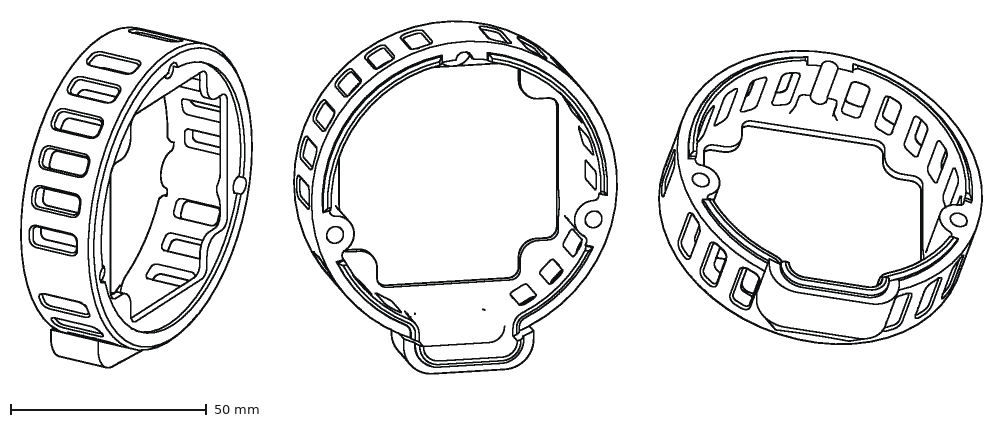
import cadquery as cq
import math

ring_radius = 80.0 / 2
ring_depth = 21.15
bore_radius = 35.3
flange_thickness = 2.15
back_recess = 1.2
floor_x = ring_depth - back_recess - flange_thickness
back_chamfer = 1.0
floor_fillet = 1.7

boss_radius = 5.0
boss_circle = ring_radius - boss_radius
screw_hole = 4.4
top_boss_angle = 90
side_boss_angles = (-15, 195)
boss_wall_fillet = 1.4
top_boss_x = 12.0
top_boss_rounding = 1.0

lip_width = 1.9
lip_height = 1.9
lip_chamfer = 0.95
top_gap = 11.95
side_gap = 14.0

housing_half_width = 17.0
overall_height = 85.95
housing_bottom = ring_radius - overall_height
housing_corner = 7.6
housing_front_x = -5.0
housing_taper_x = 9.1
housing_taper_angle = 36
housing_taper_length = 9.9
channel_half_width = 12.3
channel_bottom = -42.1
channel_corner = 4.0
channel_junction = 4.3

ramp_start_x = 7.7
ramp_top_z = -30.1
ramp_end_half_width = 8.8
ramp_end_top_half_width = 13.75
ramp_end_bottom = -37.0
ramp_end_corner = 1.3

slot_length = 13.0
slot_width = 5.0
slot_corner = 1.5
slot_chamfer = 0.7
slot_center_x = 9.7
slot_pitch = 15
slot_angles = [slot_pitch * step for step in (-4, -3, -2, 0, 1, 2, 3, 4, 5)]

opening_half = 28.7
pad_half = 18.7
pad_radius = 4.6
pad_root_radius = 2.7


def rotate_from_y(shape, angle):
    """Turn a shape built along +Z to the given angle about X, measured from +Y."""
    return shape.rotate((0, 0, 0), (1, 0, 0), angle - 90)


def disc(radius, x_start, x_end):
    """Cylinder on the ring axis."""
    return cq.Workplane("YZ").workplane(offset=x_start).circle(radius).extrude(x_end - x_start)


def rounded_prism(half_width, bottom, corner, x_start, x_end):
    """Prism along X from the ring axis down to the bottom, lower corners rounded."""
    return (
        cq.Workplane("YZ").workplane(offset=x_start)
        .center(0, bottom / 2).rect(2 * half_width, -bottom).extrude(x_end - x_start)
        .edges("|X and <Z").fillet(corner)
    )


def bore_outline(margin, x_start, x_end):
    """Bore joined to the cable channel, grown outwards by the margin."""
    radius = bore_radius + margin
    half_width = channel_half_width + margin
    channel = rounded_prism(half_width, channel_bottom - margin, channel_corner + margin, x_start, x_end)
    junction_z = -math.sqrt(radius ** 2 - half_width ** 2)
    reach = 0.4
    junction = cq.selectors.BoxSelector(
        (x_start - reach, -half_width - reach, junction_z - reach),
        (x_end + reach, half_width + reach, junction_z + reach),
    )
    outline = disc(radius, x_start, x_end).union(channel)
    return outline.edges("|X").edges(junction).fillet(channel_junction - margin)


def boss_cylinder(angle, radius, x_start, x_end):
    """Cylinder on the axis of the screw boss at the given angle from +Y."""
    y = boss_circle * math.cos(math.radians(angle))
    z = boss_circle * math.sin(math.radians(angle))
    return disc(radius, x_start, x_end).translate((0, y, z))


def housing():
    """Cable housing, tapering into the ring and nested to its radius ahead of the rim."""
    straight = rounded_prism(
        housing_half_width, housing_bottom, housing_corner, housing_front_x, housing_taper_x
    )
    taper = straight.faces(">X").wires().toPending().workplane().extrude(
        housing_taper_length, taper=housing_taper_angle, combine=False
    )
    nest = disc(ring_radius, housing_front_x, 0)
    return straight.union(taper).cut(nest)


def lip(x_start, x_end):
    """Strip standing around the bore and channel, its outer front edge chamfered."""
    outer = bore_outline(lip_width, x_start, x_end).faces("<X").edges().chamfer(lip_chamfer)
    return outer.cut(bore_outline(0, x_start, x_end))


def gap_cutter(angle, gap):
    """Block that interrupts the rim lip at a boss and chamfers the lip ends."""
    half_gap = gap / 2
    block = (
        cq.Workplane("XY")
        .polyline([
            (0, -half_gap),
            (lip_chamfer - lip_height, -half_gap),
            (-lip_height, -half_gap - lip_chamfer),
            (-lip_height, half_gap + lip_chamfer),
            (lip_chamfer - lip_height, half_gap),
            (0, half_gap),
        ])
        .close().extrude(ring_radius)
    )
    return rotate_from_y(block, angle)


def rim_lip():
    """Lip on the ring rim, interrupted at the three bosses."""
    strip = lip(-lip_height, 0).cut(gap_cutter(top_boss_angle, top_gap))
    for angle in side_boss_angles:
        strip = strip.cut(gap_cutter(angle, side_gap))
    return strip


def housing_lip():
    """Lip on the front face of the housing, outside the ring radius."""
    front_x = housing_front_x - lip_height
    return lip(front_x, housing_front_x).cut(disc(ring_radius, front_x, housing_front_x))


def channel_section(x, half_width, bottom, corner, top_half_width):
    """Channel cross-section with rounded lower corners, closed inside the bore."""
    corner_half_width = half_width - corner
    corner_side_z = bottom + corner
    bulge = corner * math.sqrt(0.5)
    bulge_y = corner_half_width + bulge
    bulge_z = corner_side_z - bulge
    return (
        cq.Workplane("YZ").workplane(offset=x)
        .moveTo(-top_half_width, ramp_top_z)
        .lineTo(-half_width, corner_side_z)
        .threePointArc((-bulge_y, bulge_z), (-corner_half_width, bottom))
        .lineTo(corner_half_width, bottom)
        .threePointArc((bulge_y, bulge_z), (half_width, corner_side_z))
        .lineTo(top_half_width, ramp_top_z)
        .close()
        .wires().val()
    )


def ramp():
    """Solid that tapers the channel up to the flange floor."""
    start = channel_section(
        ramp_start_x, channel_half_width, channel_bottom, channel_corner, channel_half_width
    )
    end = channel_section(
        floor_x, ramp_end_half_width, ramp_end_bottom, ramp_end_corner, ramp_end_top_half_width
    )
    ruled = True
    return cq.Workplane(cq.Solid.makeLoft([start, end], ruled))


def cavity():
    """Space inside the ring: bore, channel and ramp, less the screw bosses, with rounded edges."""
    channel = rounded_prism(channel_half_width, channel_bottom, channel_corner, 0, ramp_start_x)
    space = disc(bore_radius, 0, floor_x).union(channel).union(ramp())
    ridge_z = -math.sqrt(bore_radius ** 2 - channel_half_width ** 2)
    ridge_reach = 1.7
    ridges = cq.selectors.BoxSelector(
        (ridge_reach, -channel_half_width - ridge_reach, ridge_z - ridge_reach),
        (floor_x - ridge_reach, channel_half_width + ridge_reach, ridge_z + ridge_reach),
    )
    space = space.edges(ridges).fillet(channel_junction)

    for angle in side_boss_angles:
        space = space.cut(boss_cylinder(angle, boss_radius, 0, floor_x))
    top_boss = boss_cylinder(top_boss_angle, boss_radius, top_boss_x, floor_x)
    space = space.cut(top_boss.faces("<X").edges().fillet(top_boss_rounding))

    side_z = boss_circle * math.sin(math.radians(side_boss_angles[0]))
    root_reach = 1.5 * boss_radius
    for y_start, y_end in ((-ring_radius, -opening_half), (opening_half, ring_radius)):
        boss_roots = cq.selectors.BoxSelector(
            (0, y_start, side_z - root_reach), (floor_x, y_end, side_z + root_reach)
        )
        space = space.edges("|X").edges(boss_roots).fillet(boss_wall_fillet)
    return space.faces(">X").edges().fillet(floor_fillet)


def opening():
    """Square flange opening with rounded pads left standing in its corners."""
    start_x = floor_x - floor_fillet
    length = ring_depth - start_x
    plane = cq.Workplane("YZ").workplane(offset=start_x)
    wide = plane.rect(2 * opening_half, 2 * pad_half).extrude(length)
    cross = wide.union(plane.rect(2 * pad_half, 2 * opening_half).extrude(length))
    pad_reach = (pad_half + opening_half) / 2
    pad_edges = cq.selectors.BoxSelector(
        (start_x, -pad_reach, -pad_reach), (ring_depth, pad_reach, pad_reach)
    )
    long_edges = cq.selectors.ParallelDirSelector(cq.Vector(1, 0, 0))
    cross = cross.edges(long_edges - pad_edges).fillet(pad_root_radius)
    return cross.edges(long_edges).edges(pad_edges).fillet(pad_radius)


def slot_cutter():
    """Rounded slot through the ring wall with a chamfered outer edge, pointing along +Z."""
    wall_start = bore_radius - 2 * slot_chamfer
    slot = (
        cq.Workplane("XY").workplane(offset=wall_start)
        .center(slot_center_x, 0).rect(slot_length, slot_width)
        .extrude(ring_radius + slot_chamfer - wall_start)
        .edges("|Z").fillet(slot_corner)
    )
    flare = (
        cq.Workplane("XY").workplane(offset=ring_radius)
        .center(slot_center_x, 0)
        .sketch()
        .rect(slot_length + 2 * slot_chamfer, slot_width + 2 * slot_chamfer)
        .vertices().fillet(slot_corner + slot_chamfer)
        .finalize()
        .extrude(-slot_chamfer, taper=45)
    )
    return slot.union(flare)


body = disc(ring_radius, 0, ring_depth).faces(">X").edges().chamfer(back_chamfer)
body = body.union(housing()).union(rim_lip()).union(housing_lip())

body = body.cut(bore_outline(0, housing_front_x - lip_height, 0)).cut(cavity())
body = body.cut(disc(bore_radius, ring_depth - back_recess, ring_depth))
body = body.cut(opening())

slot = slot_cutter()
for slot_angle in slot_angles:
    body = body.cut(rotate_from_y(slot, slot_angle))
    body = body.cut(rotate_from_y(slot, 180 - slot_angle))

for hole_angle in (top_boss_angle, *side_boss_angles):
    body = body.cut(boss_cylinder(hole_angle, screw_hole / 2, 0, ring_depth))

result = body